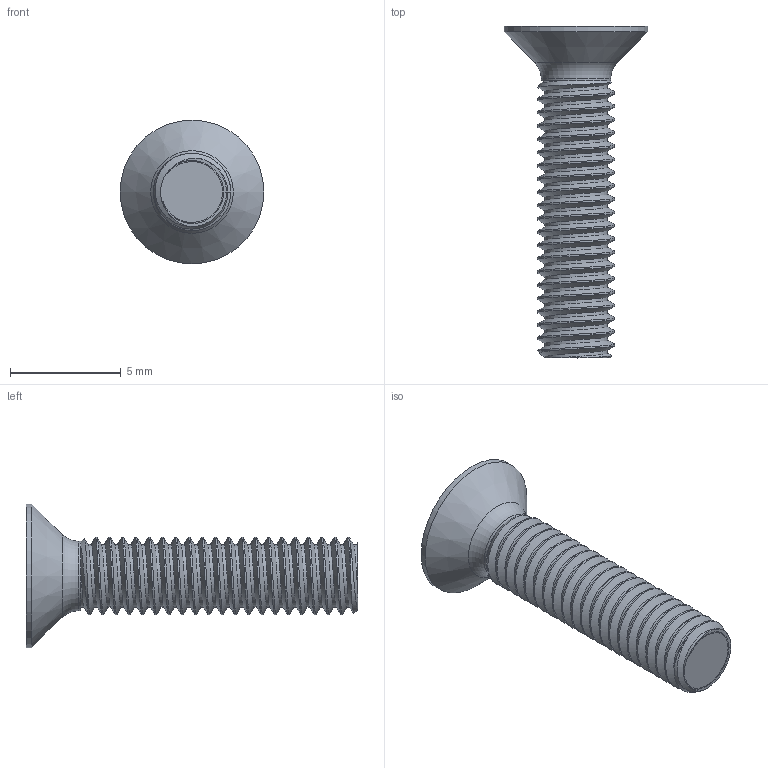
import cadquery as cq
import math


length = 15.0
head_radius = 6.5 / 2

rim_height = 0.26
neck_radius = 1.575
neck_fillet = 1.0
neck_end = 2.48
cone_angle = math.radians(45)

pitch = 0.6
major_radius = 3.5 / 2
flank_angle = math.radians(30)
sharp_height = pitch / 2 / math.tan(flank_angle)
thread_depth = sharp_height * 5 / 8
root_radius = major_radius - thread_depth
crest_width = pitch / 8
ridge_overlap = 0.05
crest_above_tip = 0.585
turns_past_tip = 2

tip_radius = 1.56
tip_taper_length = 0.35
runout_length = 0.3
trimmed_turns = 2


def make_head_and_core():
    """Revolve the head, the neck and the plain thread core."""
    fillet_center_radius = neck_radius + neck_fillet
    fillet_start_radius = fillet_center_radius - neck_fillet * math.cos(cone_angle)
    fillet_start = rim_height + (head_radius - fillet_start_radius) / math.tan(cone_angle)
    fillet_end = fillet_start + neck_fillet * math.sin(cone_angle)
    half_angle = cone_angle / 2
    fillet_middle = (
        fillet_center_radius - neck_fillet * math.cos(half_angle),
        -fillet_end + neck_fillet * math.sin(half_angle),
    )
    return (
        cq.Workplane("XZ")
        .lineTo(head_radius, 0)
        .lineTo(head_radius, -rim_height)
        .lineTo(fillet_start_radius, -fillet_start)
        .threePointArc(fillet_middle, (neck_radius, -fillet_end))
        .lineTo(neck_radius, -neck_end)
        .lineTo(root_radius, -neck_end)
        .lineTo(root_radius, -length)
        .lineTo(0, -length)
        .close()
        .revolve(360, (0, 0, 0), (0, 1, 0))
    )


def make_thread_envelope():
    """Revolve the space that the thread may fill, tapered at both ends."""
    return (
        cq.Workplane("XZ")
        .moveTo(0, -neck_end)
        .lineTo(neck_radius, -neck_end)
        .lineTo(major_radius, -neck_end - runout_length)
        .lineTo(major_radius, -length + tip_taper_length)
        .lineTo(tip_radius, -length)
        .lineTo(0, -length)
        .close()
        .revolve(360, (0, 0, 0), (0, 1, 0))
    )


def make_ridge_turn(start_height):
    """Build one right-handed turn of the ridge, starting on the +X side."""
    base_radius = root_radius - ridge_overlap
    half_crest = crest_width / 2
    half_base = half_crest + (major_radius - base_radius) * math.tan(flank_angle)
    corners = [
        (base_radius, -half_base),
        (major_radius, -half_crest),
        (major_radius, half_crest),
        (base_radius, half_base),
    ]
    helices = [
        cq.Wire.makeHelix(pitch, pitch, radius, cq.Vector(0, 0, start_height + offset))
        for radius, offset in corners
    ]
    next_helices = helices[1:] + helices[:1]
    faces = [cq.Face.makeRuledSurface(first, second) for first, second in zip(helices, next_helices)]
    for height in (start_height, start_height + pitch):
        end_points = [(radius, 0, height + offset) for radius, offset in corners]
        faces.append(cq.Face.makeFromWires(cq.Wire.makePolygon(end_points, close=True)))
    return cq.Workplane(cq.Solid.makeSolid(cq.Shell.makeShell(faces)))


def make_thread_turns():
    """Build every turn, trimming those that reach a tapered end."""
    envelope = make_thread_envelope()
    first_start = -length + crest_above_tip - turns_past_tip * pitch
    turn_count = math.ceil((-neck_end - first_start) / pitch) + 1
    turns = []
    for index in range(turn_count):
        turn = make_ridge_turn(first_start + index * pitch)
        if index < trimmed_turns or index >= turn_count - trimmed_turns:
            turn = turn.intersect(envelope)
        turns.append(turn.val())
    return turns


screw = make_head_and_core().val().fuse(*make_thread_turns())
result = cq.Workplane(screw.Solids()[0]).rotate((0, 0, 0), (1, 0, 0), -90)